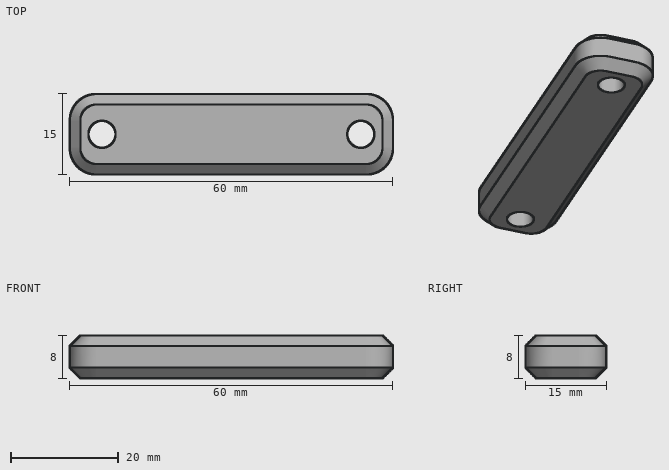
import cadquery as cq

length = 60.0
width = 15.0
thickness = 8.0

corner_radius = 5.0
chamfer_size = 2.0

hole_diameter = 5.0
hole_end_distance = 6.0
hole_spacing = length - 2 * hole_end_distance

bar = cq.Workplane("XY").box(length, width, thickness)
bar = bar.edges("|Z").fillet(corner_radius)

bar = bar.faces("<Z or >Z").edges().chamfer(chamfer_size)

result = (
    bar.faces(">Z")
    .workplane(origin=(0, 0, 0))
    .rarray(hole_spacing, 0.6, 2, 1)
    .hole(hole_diameter)
)